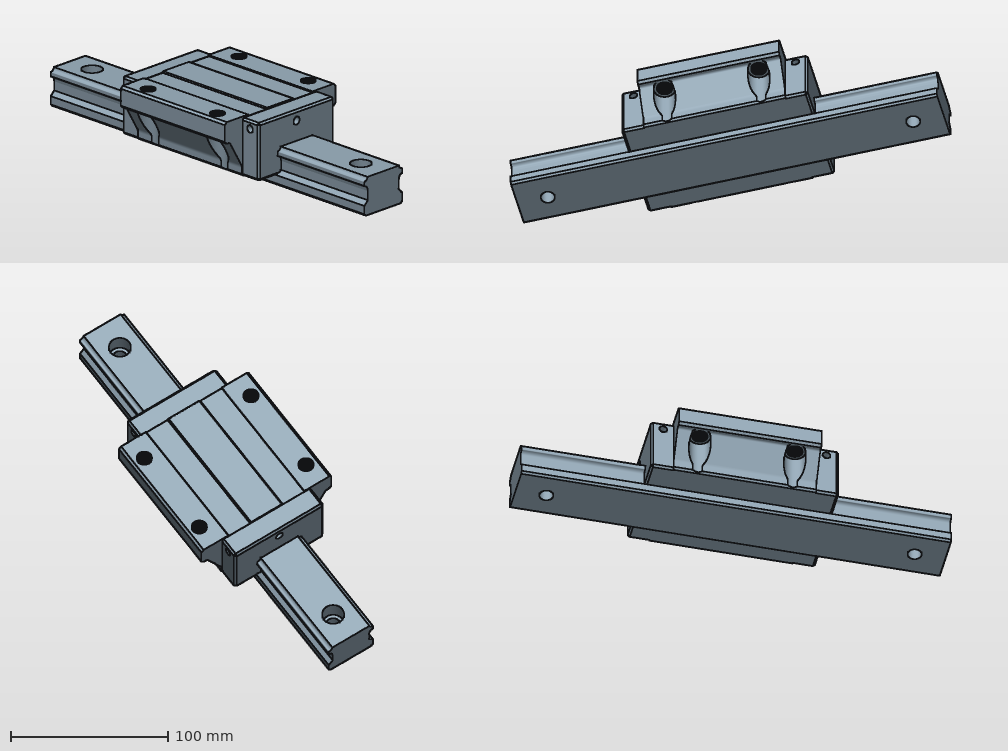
import cadquery as cq
RAIL_LENGTH = 280.0
RAIL_HEIGHT = 26.0
RAIL_HALF_WIDTH = 17.0
RAIL_TOP_HALF_WIDTH = 14.3
RAIL_NECK_HALF_WIDTH = 14.0
RAIL_FOOT_HEIGHT = 7.0
RAIL_FOOT_CHAMFER = 1.5
RIDGE_CENTRE_HEIGHT = 21.8
RIDGE_HALF_THICKNESS = 1.7
RIDGE_FILLET = 0.5
GROOVE_RADIUS = 2.8
NECK_TOP_HEIGHT = 16.2

RAIL_HOLE_SPACING = 240.0
RAIL_HOLE_DIAMETER = 9.0
RAIL_COUNTERBORE_DIAMETER = 14.0
RAIL_COUNTERBORE_DEPTH = 12.0

CARRIAGE_CENTRE_X = 1.55
CARRIAGE_TOP = 48.0
CARRIAGE_BOTTOM = 7.5
BLOCK_LENGTH = 93.0
FLANGE_WIDTH = 100.0
FLANGE_HALF_WIDTH = FLANGE_WIDTH / 2
FLANGE_BOTTOM = 33.0
FLANGE_CHAMFER = 1.7
SLOPE_TOP_HALF_WIDTH = 45.5
BLOCK_HALF_WIDTH = 34.7
SLOPE_BOTTOM = 14.3
SLOPE_FILLET = 5.3
FLANGE_ROOT_FILLET = 1.7
BLOCK_BOTTOM_CHAMFER = 1.5

RECESS_DEPTH = 0.8
RECESS_INNER_Y = 11.8
RECESS_OUTER_Y = 29.0
RECESS_SLOPE = 0.8

MOUNT_SPACING_X = 62.0
MOUNT_SPACING_Y = 82.0
MOUNT_HOLE_DIAMETER = 8.7
MOUNT_THREAD_DEPTH = 0.5
MOUNT_THREAD_COUNT = 15
MOUNT_RELIEF_DIAMETER = 14.0

CAP_LENGTH = 14.5
CAP_HALF_WIDTH = 34.2
CAP_TOP = 46.8
CAP_CHAMFER = 1.5
SIDE_PORT_DIAMETER = 5.0
SIDE_PORT_SPACING = 106.5
SIDE_PORT_HEIGHT = 41.2
END_PORT_DIAMETER = 5.3
END_PORT_HEIGHT = 39.8
PORT_DEPTH = 5.5


def rail_bar():
    """Rail section, without holes, extruded along X and centred on the origin."""
    ridge_top = RIDGE_CENTRE_HEIGHT + RIDGE_HALF_THICKNESS
    ridge_bottom = RIDGE_CENTRE_HEIGHT - RIDGE_HALF_THICKNESS
    groove_end = 2 * RIDGE_CENTRE_HEIGHT - RAIL_HEIGHT
    foot_slope_top = RAIL_FOOT_HEIGHT + RAIL_HALF_WIDTH - RAIL_NECK_HALF_WIDTH
    half = (
        cq.Workplane("YZ", origin=(-RAIL_LENGTH / 2, 0, 0))
        .moveTo(0, 0)
        .lineTo(RAIL_HALF_WIDTH - RAIL_FOOT_CHAMFER, 0)
        .lineTo(RAIL_HALF_WIDTH, RAIL_FOOT_CHAMFER)
        .lineTo(RAIL_HALF_WIDTH, RAIL_FOOT_HEIGHT)
        .lineTo(RAIL_NECK_HALF_WIDTH, foot_slope_top)
        .lineTo(RAIL_NECK_HALF_WIDTH, NECK_TOP_HEIGHT)
        .lineTo(RAIL_TOP_HALF_WIDTH, groove_end)
        .radiusArc((RAIL_HALF_WIDTH, ridge_bottom), GROOVE_RADIUS)
        .lineTo(RAIL_HALF_WIDTH, ridge_top)
        .radiusArc((RAIL_TOP_HALF_WIDTH, RAIL_HEIGHT), GROOVE_RADIUS)
        .lineTo(0, RAIL_HEIGHT)
        .close()
        .extrude(RAIL_LENGTH)
    )
    for ridge_edge_height in (ridge_bottom, ridge_top):
        ridge_edge = cq.selectors.NearestToPointSelector((0, RAIL_HALF_WIDTH, ridge_edge_height))
        half = half.edges(ridge_edge).fillet(RIDGE_FILLET)
    return half.union(half.mirror("XZ"))


def make_rail():
    hole_places = [(-RAIL_HOLE_SPACING / 2, 0), (RAIL_HOLE_SPACING / 2, 0)]
    return (
        rail_bar()
        .faces(">Z")
        .workplane(origin=(0, 0, RAIL_HEIGHT))
        .pushPoints(hole_places)
        .cboreHole(RAIL_HOLE_DIAMETER, RAIL_COUNTERBORE_DIAMETER, RAIL_COUNTERBORE_DEPTH)
    )


def block_body():
    """Flanged block with sloped flanks under the flange."""
    half = (
        cq.Workplane("YZ", origin=(CARRIAGE_CENTRE_X - BLOCK_LENGTH / 2, 0, 0))
        .moveTo(0, CARRIAGE_BOTTOM)
        .lineTo(BLOCK_HALF_WIDTH - BLOCK_BOTTOM_CHAMFER, CARRIAGE_BOTTOM)
        .lineTo(BLOCK_HALF_WIDTH, CARRIAGE_BOTTOM + BLOCK_BOTTOM_CHAMFER)
        .lineTo(BLOCK_HALF_WIDTH, SLOPE_BOTTOM)
        .lineTo(SLOPE_TOP_HALF_WIDTH, FLANGE_BOTTOM)
        .lineTo(FLANGE_HALF_WIDTH - FLANGE_CHAMFER, FLANGE_BOTTOM)
        .lineTo(FLANGE_HALF_WIDTH, FLANGE_BOTTOM + FLANGE_CHAMFER)
        .lineTo(FLANGE_HALF_WIDTH, CARRIAGE_TOP - FLANGE_CHAMFER)
        .lineTo(FLANGE_HALF_WIDTH - FLANGE_CHAMFER, CARRIAGE_TOP)
        .lineTo(RECESS_OUTER_Y, CARRIAGE_TOP)
        .lineTo(RECESS_OUTER_Y, CARRIAGE_TOP - RECESS_DEPTH)
        .lineTo(RECESS_INNER_Y + RECESS_SLOPE, CARRIAGE_TOP - RECESS_DEPTH)
        .lineTo(RECESS_INNER_Y, CARRIAGE_TOP)
        .lineTo(0, CARRIAGE_TOP)
        .close()
        .extrude(BLOCK_LENGTH)
    )
    flank_corners = [
        (BLOCK_HALF_WIDTH, SLOPE_BOTTOM, SLOPE_FILLET),
        (SLOPE_TOP_HALF_WIDTH, FLANGE_BOTTOM, FLANGE_ROOT_FILLET),
    ]
    for y, z, radius in flank_corners:
        corner = cq.selectors.NearestToPointSelector((CARRIAGE_CENTRE_X, y, z))
        half = half.edges(corner).fillet(radius)
    return half.union(half.mirror("XZ"))


def mount_cutters():
    """Threaded holes through the flange, each with a wider relief running down the flank."""
    crest_radius = MOUNT_HOLE_DIAMETER / 2
    root_radius = crest_radius + MOUNT_THREAD_DEPTH
    relief_radius = MOUNT_RELIEF_DIAMETER / 2
    pitch = (CARRIAGE_TOP - FLANGE_BOTTOM) / MOUNT_THREAD_COUNT
    profile = (
        cq.Workplane("XZ")
        .moveTo(0, CARRIAGE_BOTTOM)
        .lineTo(relief_radius, CARRIAGE_BOTTOM)
        .lineTo(relief_radius, FLANGE_BOTTOM)
        .lineTo(root_radius, FLANGE_BOTTOM)
    )
    for ring in range(MOUNT_THREAD_COUNT):
        root_height = FLANGE_BOTTOM + (ring + 1) * pitch
        profile = profile.lineTo(crest_radius, root_height - pitch / 2).lineTo(root_radius, root_height)
    cutter = profile.lineTo(0, CARRIAGE_TOP).close().revolve(360, (0, 0), (0, 1)).val()
    return (
        cq.Workplane("XY", origin=(CARRIAGE_CENTRE_X, 0, 0))
        .rarray(MOUNT_SPACING_X, MOUNT_SPACING_Y, 2, 2)
        .eachpoint(lambda place: cutter.moved(place))
        .vals()
    )


def end_cap(side):
    """Chamfered cap on the end of the block; side is -1 or +1 along X."""
    inner_x = CARRIAGE_CENTRE_X + side * BLOCK_LENGTH / 2
    outer_x = inner_x + side * CAP_LENGTH
    cap = (
        cq.Workplane("XY", origin=((inner_x + outer_x) / 2, 0, CARRIAGE_BOTTOM))
        .box(CAP_LENGTH, 2 * CAP_HALF_WIDTH, CAP_TOP - CARRIAGE_BOTTOM, centered=(True, True, False))
    )
    outer_face = ">X" if side > 0 else "<X"
    cap = cap.edges(f"|X or {outer_face}").chamfer(CAP_CHAMFER)
    end_port = (
        cq.Workplane("YZ", origin=(outer_x, 0, END_PORT_HEIGHT))
        .circle(END_PORT_DIAMETER / 2)
        .extrude(-side * PORT_DEPTH)
    )
    side_port_x = CARRIAGE_CENTRE_X + side * SIDE_PORT_SPACING / 2
    side_port = (
        cq.Workplane("XZ", origin=(side_port_x, -CAP_HALF_WIDTH, SIDE_PORT_HEIGHT))
        .circle(SIDE_PORT_DIAMETER / 2)
        .extrude(-PORT_DEPTH)
    )
    return cap.cut(end_port).cut(side_port).cut(side_port.mirror("XZ"))


def make_carriage():
    carriage = block_body()
    for cutter in mount_cutters():
        carriage = carriage.cut(cutter)
    for side in (-1, 1):
        carriage = carriage.union(end_cap(side))
    return carriage.cut(rail_bar())


rail = make_rail()
carriage = make_carriage()

result = cq.Compound.makeCompound([rail.val(), carriage.val()])